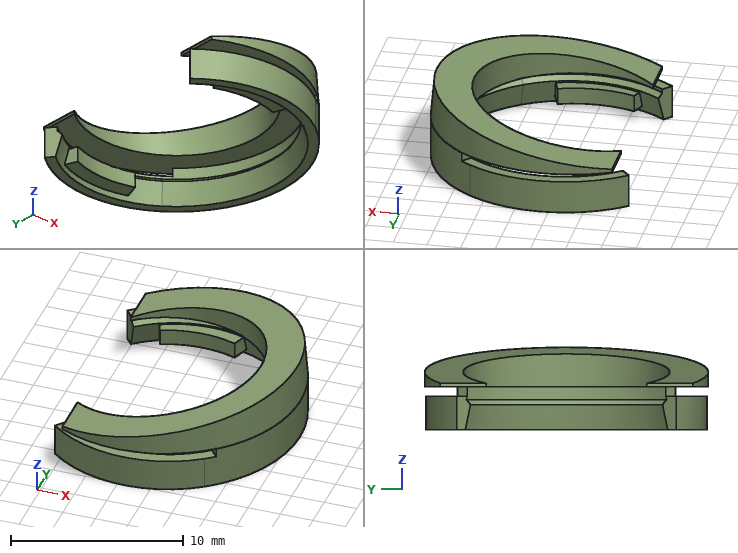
import cadquery as cq
import math


PLATE_OUTER_RADIUS = 8.25
PLATE_INNER_RADIUS = 6.0
PLATE_END_X = -3.8
PLATE_END_HEIGHT = 0.21
PLATE_SLOPE = 10.0
PLATE_LEAN = PLATE_SLOPE / 2

RING_OUTER_RADIUS = PLATE_OUTER_RADIUS / math.cos(math.radians(PLATE_LEAN))
NECK_WALL = 0.75
LIP_REACH = 0.3
FOOT_WALL = 0.65
GAP = 0.53
LIP_TOP_DEPTH = 0.75
LIP_DEPTH = LIP_TOP_DEPTH + LIP_REACH
RING_DEPTH = 2.49

NECK_HALF_ANGLE = 50.0
RING_HALF_ANGLE = 55.0
ARM_END_ANGLE = 130.0

ARM_OUTER_RADIUS = 7.68
ARM_OFFSET = RING_OUTER_RADIUS - ARM_OUTER_RADIUS
ARM_AXIS_X = ARM_OFFSET * math.cos(math.radians(RING_HALF_ANGLE))
ARM_AXIS_Y = ARM_OFFSET * math.sin(math.radians(RING_HALF_ANGLE))

BLOCK_INNER_RADIUS = 6.4
BLOCK_START_ANGLE = 70.5
BLOCK_END_ANGLE = 112.2
BLOCK_HEIGHT = 0.99
BLOCK_TOP_DEPTH = 1.15
BLOCK_OUTER_RADIUS = RING_OUTER_RADIUS - NECK_WALL


def sweep(points, start_angle, end_angle):
    """Revolve an (r, z) outline about Z from start_angle to end_angle."""
    return (
        cq.Workplane("XZ")
        .polyline(points)
        .close()
        .revolve(end_angle - start_angle, (0, 0, 0), (0, -1, 0))
        .rotate((0, 0, 0), (0, 0, 1), end_angle)
    )


def wall_section(outer_radius, top_depth):
    """The (r, z) outline of the lipped wall, with its top at top_depth."""
    neck_radius = outer_radius - NECK_WALL
    return [
        (outer_radius, -top_depth),
        (outer_radius, -RING_DEPTH),
        (outer_radius - FOOT_WALL, -RING_DEPTH),
        (neck_radius - LIP_REACH, -LIP_DEPTH),
        (neck_radius, -LIP_TOP_DEPTH),
        (neck_radius, -top_depth),
    ]


def make_plate():
    """A wedge trimmed to a C by two leaning cylinders."""
    reach = 2 * PLATE_OUTER_RADIUS
    leaning_ring = (
        cq.Workplane("XY")
        .circle(PLATE_OUTER_RADIUS)
        .circle(PLATE_INNER_RADIUS)
        .extrude(reach, both=True)
        .rotate((0, 0, 0), (0, 1, 0), -PLATE_LEAN)
    )
    far_height = PLATE_END_HEIGHT + (reach - PLATE_END_X) * math.tan(math.radians(PLATE_SLOPE))
    wedge = (
        cq.Workplane("XZ")
        .polyline([(PLATE_END_X, 0), (reach, 0), (reach, far_height), (PLATE_END_X, PLATE_END_HEIGHT)])
        .close()
        .extrude(reach, both=True)
    )
    return wedge.intersect(leaning_ring)


def make_ring():
    """The lower ring, with the neck that joins it to the plate."""
    ring = sweep(wall_section(RING_OUTER_RADIUS, GAP), -RING_HALF_ANGLE, RING_HALF_ANGLE)
    neck = sweep(wall_section(RING_OUTER_RADIUS, 0), -NECK_HALF_ANGLE, NECK_HALF_ANGLE)
    return ring.union(neck)


def make_arm():
    """The arm on the +Y side, with its block."""
    arm = sweep(wall_section(ARM_OUTER_RADIUS, GAP), RING_HALF_ANGLE, ARM_END_ANGLE)
    arm = arm.translate((ARM_AXIS_X, ARM_AXIS_Y, 0))
    block_bottom = -BLOCK_TOP_DEPTH - BLOCK_HEIGHT
    block = sweep(
        [
            (BLOCK_INNER_RADIUS, -BLOCK_TOP_DEPTH),
            (BLOCK_OUTER_RADIUS, -BLOCK_TOP_DEPTH),
            (BLOCK_OUTER_RADIUS, block_bottom),
            (BLOCK_INNER_RADIUS, block_bottom),
        ],
        BLOCK_START_ANGLE,
        BLOCK_END_ANGLE,
    )
    return arm.union(block)


arm = make_arm()
result = make_plate().union(make_ring()).union(arm).union(arm.mirror("XZ"))